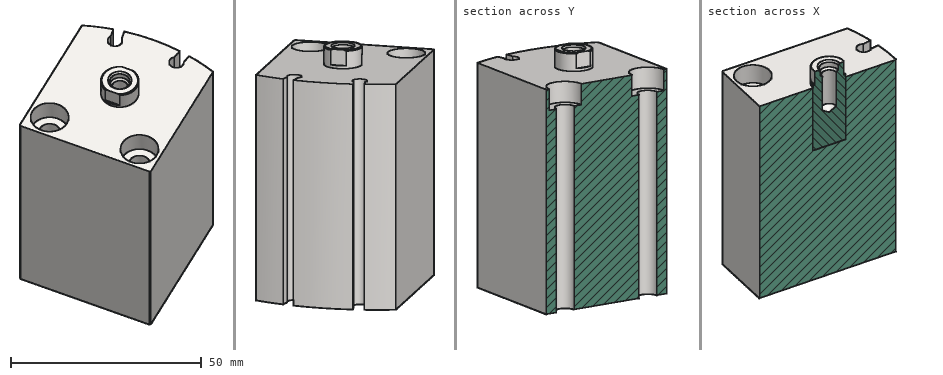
import cadquery as cq
import math

WIDTH = 38.0
DEPTH = 42.0
TOTAL_HEIGHT = 66.1
ROD_PROJECTION = 5.0
HOUSING_HEIGHT = TOTAL_HEIGHT - ROD_PROJECTION
HALF_WIDTH = WIDTH / 2
FRONT_Y = -21.5
BACK_Y = FRONT_Y + DEPTH
BACK_RADIUS = 55.0
BACK_CENTRE_Y = BACK_Y - BACK_RADIUS
SIDE_END_Y = BACK_CENTRE_Y + math.sqrt(BACK_RADIUS**2 - HALF_WIDTH**2)
CORNER_CHAMFER = 0.3

SLOT_ANGLE = 10.0
SLOT_HOLE_DIAMETER = 3.85
SLOT_HOLE_RADIUS = 51.2
SLOT_WIDTH = 3.0
SLOT_OVERRUN = 1.3

MOUNT_X = 13.0
MOUNT_Y = -15.55
MOUNT_DIAMETER = 5.5
COUNTERBORE_DIAMETER = 10.0
COUNTERBORE_DEPTH = 5.7

ROD_DIAMETER = 10.0
ROD_SEAT_DEPTH = 19.8
ROD_BASE_Z = HOUSING_HEIGHT - ROD_SEAT_DEPTH
ROD_CHAMFER = 0.25
FLATS_ACROSS = 9.0
FLAT_LENGTH = 4.2
MOUTH_DIAMETER = 6.2
RECESS_DIAMETER = 5.3
RECESS_DEPTH = 2.0
DRILL_DIAMETER = 4.15
DRILL_DEPTH = 13.2
DRILL_POINT_ANGLE = 118.0


def make_keyhole(angle):
    """Keyhole cutter along a radius of the back, turned by angle from +Y."""
    slot_length = BACK_RADIUS - SLOT_HOLE_RADIUS + SLOT_OVERRUN
    hole = cq.Workplane().center(0, SLOT_HOLE_RADIUS).circle(SLOT_HOLE_DIAMETER / 2).extrude(HOUSING_HEIGHT)
    neck = (
        cq.Workplane()
        .center(0, SLOT_HOLE_RADIUS + slot_length / 2)
        .rect(SLOT_WIDTH, slot_length)
        .extrude(HOUSING_HEIGHT)
    )
    keyhole = hole.union(neck)
    return keyhole.rotate((0, 0, 0), (0, 0, 1), angle).translate((0, BACK_CENTRE_Y, 0))


def make_housing():
    """Block with a curved back, keyhole slots, mounting holes and a blind rod bore."""
    housing = (
        cq.Workplane()
        .moveTo(-HALF_WIDTH, FRONT_Y)
        .lineTo(HALF_WIDTH, FRONT_Y)
        .lineTo(HALF_WIDTH, SIDE_END_Y)
        .threePointArc((0, BACK_Y), (-HALF_WIDTH, SIDE_END_Y))
        .close()
        .extrude(HOUSING_HEIGHT)
    )
    housing = housing.faces("<Y").edges("|Z").chamfer(CORNER_CHAMFER)
    for angle in (-SLOT_ANGLE, SLOT_ANGLE):
        housing = housing.cut(make_keyhole(angle))
    housing = (
        housing.faces(">Z")
        .workplane(origin=(0, 0, HOUSING_HEIGHT))
        .pushPoints([(-MOUNT_X, MOUNT_Y), (MOUNT_X, MOUNT_Y)])
        .cboreHole(MOUNT_DIAMETER, COUNTERBORE_DIAMETER, COUNTERBORE_DEPTH)
    )
    rod_bore = cq.Workplane().workplane(offset=ROD_BASE_Z).circle(ROD_DIAMETER / 2).extrude(ROD_SEAT_DEPTH)
    return housing.cut(rod_bore)


def make_rod_socket():
    """Revolved cutter: countersunk mouth, recess with 45 degree floor, drilled hole and conical bottom."""
    mouth_radius = MOUTH_DIAMETER / 2
    recess_radius = RECESS_DIAMETER / 2
    drill_radius = DRILL_DIAMETER / 2
    mouth_depth = mouth_radius - recess_radius
    taper_end_z = TOTAL_HEIGHT - RECESS_DEPTH - (recess_radius - drill_radius)
    point_length = drill_radius / math.tan(math.radians(DRILL_POINT_ANGLE / 2))
    return (
        cq.Workplane("XZ")
        .moveTo(0, TOTAL_HEIGHT)
        .lineTo(mouth_radius, TOTAL_HEIGHT)
        .lineTo(recess_radius, TOTAL_HEIGHT - mouth_depth)
        .lineTo(recess_radius, TOTAL_HEIGHT - RECESS_DEPTH)
        .lineTo(drill_radius, taper_end_z)
        .lineTo(drill_radius, TOTAL_HEIGHT - DRILL_DEPTH)
        .lineTo(0, TOTAL_HEIGHT - DRILL_DEPTH - point_length)
        .close()
        .revolve(360, (0, 0, 0), (0, 1, 0))
    )


def make_rod():
    """Round rod seated in the housing, with its projecting end machined."""
    rod_length = ROD_SEAT_DEPTH + ROD_PROJECTION
    rod = cq.Workplane().workplane(offset=ROD_BASE_Z).circle(ROD_DIAMETER / 2).extrude(rod_length)
    rod = rod.faces(">Z").edges().chamfer(ROD_CHAMFER)
    for side in (-1, 1):
        flat_cutter = (
            cq.Workplane()
            .workplane(offset=TOTAL_HEIGHT - FLAT_LENGTH)
            .center(0, side * (FLATS_ACROSS + ROD_DIAMETER) / 2)
            .rect(ROD_DIAMETER, ROD_DIAMETER)
            .extrude(FLAT_LENGTH)
        )
        rod = rod.cut(flat_cutter)
    return rod.cut(make_rod_socket())


housing = make_housing()
rod = make_rod()

result = cq.Compound.makeCompound([housing.val(), rod.val()])